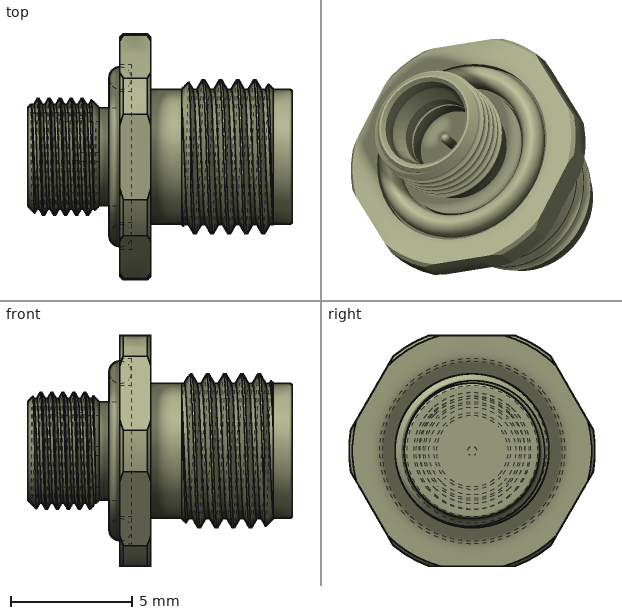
import cadquery as cq
import math


total_length = 10.92
neck_start = 2.95
flange_start = 3.80
flange_end = 5.08
barrel_thread_start = 6.35
barrel_thread_end = 10.14

crest_flat_in_pitches = 1 / 8
depth_in_sharp_heights = 5 / 8
flank_half_angle = math.radians(30)
socket_thread_diameter = 4.826
socket_thread_pitch = 0.4536
socket_thread_crest = 0.775
barrel_thread_diameter = 6.35
barrel_thread_pitch = 0.7056
barrel_thread_crest = 7.075
root_embed_in_pitches = 0.1
crest_clearance = 0.1

across_flats = 9.53
flange_round_diameter = 10.16
flange_chamfer = 0.145

neck_diameter = 4.06
barrel_diameter = 5.58
barrel_end_fillet = 0.13

mouth_diameter = 3.90
entry_diameter = 3.61
entry_end = 0.86
inner_diameter = 2.95
cone_half_angle = math.radians(30)
relief_diameter = 3.17
relief_start = 2.04
relief_width = 0.15
bore_depth = neck_start
contact_diameter = 0.38
contact_length = 1.0

groove_outer_diameter = 7.65
groove_inner_diameter = 5.41
ring_inner_diameter = 5.58
ring_section = 0.92
ring_projection = 0.445


def revolve_about_x(points):
    """Revolve a closed outline of (x, radius) points about the X axis."""
    return cq.Workplane("XY").polyline(points).close().revolve(360, (0, 0, 0), (1, 0, 0))


def disc(x_start, x_end, diameter):
    """Solid cylinder along X."""
    return cq.Workplane("YZ").workplane(offset=x_start).circle(diameter / 2).extrude(x_end - x_start)


def thread_depth(pitch):
    sharp_height = pitch / (2 * math.tan(flank_half_angle))
    return depth_in_sharp_heights * sharp_height


def thread_ridge(major_diameter, pitch, crest_below_axis, x_start, x_end):
    """Right-hand helical ridge that runs past both ends; its crest passes below the axis at the given x."""
    helix_start = crest_below_axis - pitch * math.ceil((crest_below_axis - x_start) / pitch + 0.5)
    turns = math.ceil((x_end - helix_start) / pitch + 0.5)
    crest_radius = major_diameter / 2
    crest_half = crest_flat_in_pitches * pitch / 2
    base_radius = crest_radius - thread_depth(pitch) - root_embed_in_pitches * pitch
    base_half = crest_half + (crest_radius - base_radius) * math.tan(flank_half_angle)
    helix = cq.Wire.makeHelix(pitch, turns * pitch, base_radius)
    ridge = (
        cq.Workplane("XZ")
        .polyline([
            (base_radius, -base_half),
            (crest_radius, -crest_half),
            (crest_radius, crest_half),
            (base_radius, base_half),
        ])
        .close()
        .sweep(cq.Workplane(helix), isFrenet=True)
    )
    return ridge.rotate((0, 0, 0), (0, 1, 0), 90).translate((helix_start, 0, 0))


def thread_envelope(x_start, x_end, end_diameter, major_diameter):
    """Solid between the thread ends with 45 degree end chamfers that rise just past the crests."""
    end_radius = end_diameter / 2
    outer_radius = major_diameter / 2 + crest_clearance
    chamfer = outer_radius - end_radius
    return revolve_about_x([
        (x_start, 0),
        (x_start, end_radius),
        (x_start + chamfer, outer_radius),
        (x_end - chamfer, outer_radius),
        (x_end, end_radius),
        (x_end, 0),
    ])


def threaded_stud(x_start, x_end, end_diameter, major_diameter, pitch, crest_below_axis):
    """Core and helical ridge, trimmed to the chamfered thread length."""
    core_diameter = major_diameter - 2 * thread_depth(pitch)
    envelope = thread_envelope(x_start, x_end, end_diameter, major_diameter)
    ridge = thread_ridge(major_diameter, pitch, crest_below_axis, x_start, x_end)
    core = disc(x_start, x_end, core_diameter)
    return core.intersect(envelope).union(ridge.intersect(envelope))


def hex_flange():
    """Hexagon with flats facing +Z and -Z, its corners turned round and chamfered on both faces."""
    across_corners = across_flats / math.cos(math.radians(30))
    thickness = flange_end - flange_start
    hexagon = cq.Workplane("YZ").workplane(offset=flange_start).polygon(6, across_corners).extrude(thickness)
    turned = disc(flange_start, flange_end, flange_round_diameter).edges().chamfer(flange_chamfer)
    return hexagon.intersect(turned)


def barrel():
    """Plain +X barrel with a rounded rim."""
    return disc(flange_end, total_length, barrel_diameter).faces(">X").edges().fillet(barrel_end_fillet)


def socket_bore():
    """Stepped bore: 45 degree mouth chamfer, entry, cone, inner bore with a narrow relief groove."""
    mouth_radius = mouth_diameter / 2
    entry_radius = entry_diameter / 2
    inner_radius = inner_diameter / 2
    cone_end = entry_end + (entry_radius - inner_radius) / math.tan(cone_half_angle)
    bore = revolve_about_x([
        (0, 0),
        (0, mouth_radius),
        (mouth_radius - entry_radius, entry_radius),
        (entry_end, entry_radius),
        (cone_end, inner_radius),
        (bore_depth, inner_radius),
        (bore_depth, 0),
    ])
    return bore.union(disc(relief_start, relief_start + relief_width, relief_diameter))


def contact_pin():
    """Centre contact rising from the bore floor, with a hemispherical tip."""
    radius = contact_diameter / 2
    tip_centre = bore_depth - contact_length + radius
    shaft = disc(tip_centre, flange_start, contact_diameter)
    return shaft.union(cq.Workplane("XY").sphere(radius).translate((tip_centre, 0, 0)))


ring_centre_x = flange_start - ring_projection + ring_section / 2
ring_centre_radius = (ring_inner_diameter + ring_section) / 2
groove_floor = ring_centre_x + ring_section / 2


def ring_groove():
    outer = disc(flange_start, groove_floor, groove_outer_diameter)
    return outer.cut(disc(flange_start, groove_floor, groove_inner_diameter))


def make_sealing_ring():
    section = cq.Workplane("XY").center(ring_centre_x, ring_centre_radius).circle(ring_section / 2)
    return section.revolve(360, (0, -ring_centre_radius, 0), (1, -ring_centre_radius, 0))


def make_adapter():
    body = hex_flange().union(barrel()).union(disc(neck_start, flange_start, neck_diameter))
    body = body.cut(ring_groove())
    body = body.union(threaded_stud(
        0, neck_start, neck_diameter, socket_thread_diameter, socket_thread_pitch, socket_thread_crest,
    ))
    body = body.union(threaded_stud(
        barrel_thread_start, barrel_thread_end, barrel_diameter,
        barrel_thread_diameter, barrel_thread_pitch, barrel_thread_crest,
    ))
    return body.cut(socket_bore()).union(contact_pin())


adapter = make_adapter()
sealing_ring = make_sealing_ring()

result = cq.Compound.makeCompound([adapter.solids().val(), sealing_ring.val()])